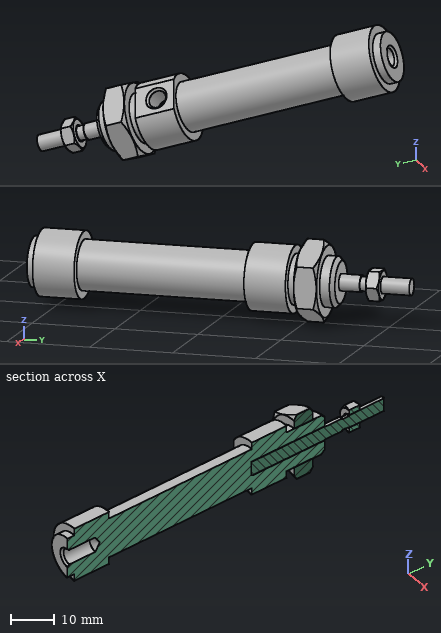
import cadquery as cq
import math

REAR_COLLAR_START = 2.0
COLLAR_LENGTH = 10.0
FRONT_COLLAR_START = 53.0
NOSE_END = 74.0
ROD_SHOULDER = 79.0
ROD_TIP = 91.0

TUBE_DIAMETER = 12.0
COLLAR_DIAMETER = 16.0
NOSE_CHAMFER = 1.0
PORT_FLAT_OFFSET = 7.0

PORT_DIAMETER = 4.3
PORT_CHAMFER = 0.55
DRILL_POINT_ANGLE = 118.0
REAR_PORT_DEPTH = 8.0
SIDE_PORT_SETBACK = 4.55
SIDE_PORT_FLOOR_OFFSET = 1.7

ROD_DIAMETER = 4.0
NECK_DIAMETER = 3.5

NUT_CHAMFER_ANGLE = 30.0
CORNERS_ON_X = 0
CORNERS_ON_Z = 30
MOUNTING_NUT_START = 65.1
MOUNTING_NUT_LENGTH = 5.55
MOUNTING_NUT_FLATS = 17.0
MOUNTING_NUT_FACE_DIAMETER = 16.8
ROD_NUT_START = 80.9
ROD_NUT_LENGTH = 3.2
ROD_NUT_FLATS = 7.0
ROD_NUT_FACE_DIAMETER = 6.8


def cylinder_y(diameter, start, end):
    """Solid cylinder on the Y axis between two stations."""
    return cq.Workplane("XZ", origin=(0, start, 0)).circle(diameter / 2).extrude(start - end)


def revolve_y(profile):
    """Solid of revolution about Y from (radius, station) points."""
    return cq.Workplane("XY").polyline(profile).close().revolve(360, (0, 0, 0), (0, 1, 0))


def rear_port():
    """Chamfered blind hole with a drill point, opening in the rear face."""
    radius = PORT_DIAMETER / 2
    tip_length = radius / math.tan(math.radians(DRILL_POINT_ANGLE / 2))
    return revolve_y([
        (0, 0),
        (radius + PORT_CHAMFER, 0),
        (radius, PORT_CHAMFER),
        (radius, REAR_PORT_DEPTH),
        (0, REAR_PORT_DEPTH + tip_length),
    ])


def side_port():
    """Chamfered flat-bottomed hole from the collar flat down to the rod."""
    center_y = FRONT_COLLAR_START + SIDE_PORT_SETBACK
    depth = PORT_FLAT_OFFSET - SIDE_PORT_FLOOR_OFFSET
    mouth = cq.Workplane("YZ", origin=(-PORT_FLAT_OFFSET, center_y, 0))
    hole = mouth.circle(PORT_DIAMETER / 2).extrude(depth)
    countersink = (
        mouth.circle(PORT_DIAMETER / 2 + PORT_CHAMFER)
        .workplane(offset=PORT_CHAMFER)
        .circle(PORT_DIAMETER / 2)
        .loft()
    )
    return hole.union(countersink)


def make_housing():
    """Tube with a rear and a front collar, a chamfered nose and two ports."""
    tube = cylinder_y(TUBE_DIAMETER, 0, NOSE_END).faces(">Y").chamfer(NOSE_CHAMFER)
    rear_collar = cylinder_y(COLLAR_DIAMETER, REAR_COLLAR_START, REAR_COLLAR_START + COLLAR_LENGTH)
    front_collar = cylinder_y(COLLAR_DIAMETER, FRONT_COLLAR_START, FRONT_COLLAR_START + COLLAR_LENGTH)
    beyond_flat = (
        cq.Workplane("YZ", origin=(-PORT_FLAT_OFFSET, FRONT_COLLAR_START + COLLAR_LENGTH / 2, 0))
        .rect(COLLAR_LENGTH, COLLAR_DIAMETER)
        .extrude(-COLLAR_DIAMETER)
    )
    rod_bore = cylinder_y(ROD_DIAMETER, FRONT_COLLAR_START, NOSE_END)
    return (
        tube.union(rear_collar)
        .union(front_collar.cut(beyond_flat))
        .cut(rod_bore)
        .cut(rear_port())
        .cut(side_port())
    )


def make_piston_rod():
    """Rod from the rear of the front collar to the tip, necked behind the rod nut."""
    rod = cylinder_y(ROD_DIAMETER, FRONT_COLLAR_START, ROD_TIP)
    neck_space = cylinder_y(ROD_DIAMETER, ROD_SHOULDER, ROD_NUT_START)
    neck = cylinder_y(NECK_DIAMETER, ROD_SHOULDER, ROD_NUT_START)
    return rod.cut(neck_space.cut(neck))


def make_nut(start, length, flats, bore, face_diameter, turn):
    """Hexagon nut with conical chamfers on both ends, turned about Y."""
    corner_radius = flats / math.sqrt(3)
    face_radius = face_diameter / 2
    chamfer_length = (corner_radius - face_radius) * math.tan(math.radians(NUT_CHAMFER_ANGLE))
    end = start + length
    hexagon = (
        cq.Workplane("XZ", origin=(0, start, 0))
        .polygon(6, 2 * corner_radius)
        .extrude(-length)
        .rotate((0, 0, 0), (0, 1, 0), turn)
    )
    chamfer_envelope = revolve_y([
        (0, start),
        (face_radius, start),
        (corner_radius, start + chamfer_length),
        (corner_radius, end - chamfer_length),
        (face_radius, end),
        (0, end),
    ])
    return hexagon.intersect(chamfer_envelope).cut(cylinder_y(bore, start, end))


housing = make_housing()
piston_rod = make_piston_rod()
mounting_nut = make_nut(
    MOUNTING_NUT_START, MOUNTING_NUT_LENGTH, MOUNTING_NUT_FLATS,
    TUBE_DIAMETER, MOUNTING_NUT_FACE_DIAMETER, CORNERS_ON_Z,
)
rod_nut = make_nut(
    ROD_NUT_START, ROD_NUT_LENGTH, ROD_NUT_FLATS,
    ROD_DIAMETER, ROD_NUT_FACE_DIAMETER, CORNERS_ON_X,
)

result = cq.Compound.makeCompound([
    housing.val(),
    piston_rod.val(),
    mounting_nut.val(),
    rod_nut.val(),
])